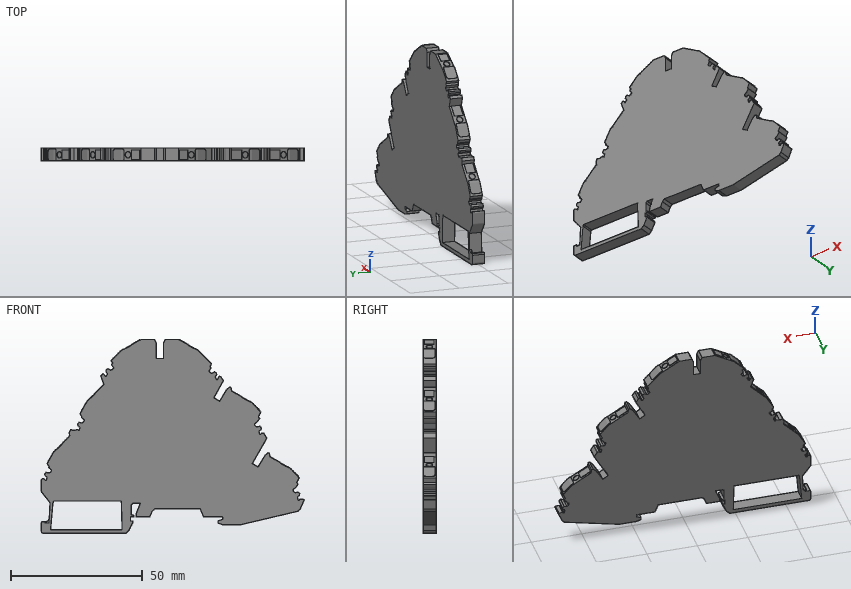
import cadquery as cq
import math

LENGTH = 100.0
HEIGHT = 73.8
THICKNESS = 5.0

RIDGE_BEND = 15.0
SHALLOW_SLOPE = 30.0
STEEP_SLOPE = SHALLOW_SLOPE + RIDGE_BEND

LEFT_TOP_RIDGE = (30.4, 69.5)
LEFT_MIDDLE_RIDGE = (17.5, 50.3)
LEFT_STEP = (-12.7, -19.3)
RIGHT_TOP_RIDGE = (59.6, 69.6)
RIGHT_MIDDLE_RIDGE = (80.1, 49.7)
RIGHT_STEP = (14.6, -25.0)

PAD_HEIGHT = 0.1
PAD_ROOT = 0.5
SQUARE_PAD_LOWER_END = 4.5
TOP_SQUARE_PAD_UPPER_END = 8.2
STEP_SQUARE_PAD_UPPER_END = 9.9
SQUARE_PAD_WIDTH = 3.6
SCREW_CENTER = 2.9
SCREW_DIAMETER = 2.4
SCREW_DEPTH = 0.2
SCREW_ROW_Y = 2.35
ENTRY_UPPER_LENGTH = 1.2
ENTRY_LOWER_LENGTH = 4.3
ENTRY_Y_MIN = 0.0
ENTRY_Y_MAX = 4.5
ENTRY_LOWER_RADIUS = 1.1
ENTRY_UPPER_RADIUS = 0.5

SLOT_CENTER_X = 45.1
SLOT_WIDTH = 2.7
SLOT_DEPTH = 7.2
SLOT_MOUTH_WIDTH = 4.1
SLOT_MOUTH_DEPTH = 1.4
TOP_LEFT_X = 38.0
TOP_RIGHT_X = 52.1

FOOT_TOP = 4.5
GROOVE_FLOOR = 3.9
GROOVE_START = (1.4, GROOVE_FLOOR)
GROOVE_END = (2.9, GROOVE_FLOOR)
GROOVE_RIB_OUTLINE = [GROOVE_START, GROOVE_END, (3.0, 5.4), (2.1, FOOT_TOP), (1.4, FOOT_TOP)]
GROOVE_RIB_THICKNESS = 0.8

FLANK_BOTTOM = 15.9
FLANK_TOP = 20.8
FOOT_CORNER_RADIUS = 0.9
FLANK_BOTTOM_RADIUS = 0.9
FLANK_TOP_RADIUS = 0.6

WINDOW_OUTLINE = [(3.6, 1.5), (30.7, 1.5), (30.4, 12.3), (4.8, 12.3), (4.5, 11.7)]

NOTCH_OUTLINE = [
    (0.6, -1.5), (1.7, -2.4), (1.4, -3.1), (0.8, -3.5), (-0.3, -3.2), (-0.9, -3.9),
    (-0.8, -4.5), (0.0, -5.2), (-0.3, -6.3), (-0.6, -6.3), (-0.9, -5.9),
]

RIGHT_LEVEL_OUTLINE = [
    (-14.4, 1.9), (-12.3, 0.6), (-9.7, 4.9), (-8.5, 6.0), (-7.9, 5.8), (-7.7, 4.4),
    (0.0, 0.0), (3.4, -3.6), (2.5, -5.4), (3.0, -6.0),
]
RIGHT_LEVEL_NOTCH = (2.7, -5.7)


def shifted(point, offset):
    return (point[0] + offset[0], point[1] + offset[1])


def placed(points, origin):
    return [shifted(point, origin) for point in points]


def notch(origin, mirrored=False, tilt=0.0):
    """Notch points turned clockwise by tilt degrees, then optionally mirrored left to right."""
    cosine = math.cos(math.radians(tilt))
    sine = math.sin(math.radians(tilt))
    side = -1 if mirrored else 1
    turned = [(side * (x * cosine + z * sine), z * cosine - x * sine) for x, z in NOTCH_OUTLINE]
    return placed(turned, origin)


def right_level(ridge):
    notch_origin = shifted(ridge, RIGHT_LEVEL_NOTCH)
    return placed(RIGHT_LEVEL_OUTLINE, ridge) + notch(notch_origin, mirrored=True)


LEFT_BOTTOM_RIDGE = shifted(LEFT_MIDDLE_RIDGE, LEFT_STEP)
RIGHT_BOTTOM_RIDGE = shifted(RIGHT_MIDDLE_RIDGE, RIGHT_STEP)


def top_edge():
    floor_z = HEIGHT - SLOT_DEPTH
    mouth_z = HEIGHT - SLOT_MOUTH_DEPTH
    left_half = [(-SLOT_MOUTH_WIDTH / 2, HEIGHT), (-SLOT_WIDTH / 2, mouth_z), (-SLOT_WIDTH / 2, floor_z)]
    slot = left_half + [(-x, z) for x, z in reversed(left_half)]
    return [(TOP_LEFT_X, HEIGHT)] + placed(slot, (SLOT_CENTER_X, 0)) + [(TOP_RIGHT_X, HEIGHT)]


def right_edge():
    upper_end = (64.8, 64.5)
    points = [RIGHT_TOP_RIDGE, upper_end, (64.2, 63.4)]
    points += notch(upper_end, mirrored=True, tilt=RIDGE_BEND)
    points += [(67.7, 59.9), (68.3, 59.6), (69.3, 58.1)]
    points += right_level(RIGHT_MIDDLE_RIDGE)
    points += [(84.6, 38.1), (85.8, 36.2)]
    points += right_level(RIGHT_BOTTOM_RIDGE)
    return points + [(99.7, 13.0), (LENGTH, 12.7), (98.5, 9.3), (97.6, 8.4)]


def bottom_edge():
    rail_seat = [
        (75.9, 3.3), (69.0, 3.3), (67.2, 3.9), (67.2, 4.8), (69.0, 5.4), (68.9, 6.3),
        (61.7, 6.3), (60.4, 9.3), (43.1, 9.3), (42.2, 8.4), (41.3, 6.3),
    ]
    spring_gap = [
        (36.1, 6.3), (36.1, 7.6), (37.6, 11.4), (34.9, 11.4), (34.3, 10.8), (34.3, 7.2),
        (35.2, 6.9), (35.2, 6.3), (34.0, 6.3), (34.0, 4.8), (34.8, 4.8), (34.9, 4.2),
    ]
    return rail_seat + spring_gap + [(33.4, 1.2), (32.2, 0.0), (0.0, 0.0)]


def left_edge():
    bottom_end = (2.2, 26.5)
    middle_end = (14.7, 45.5)
    top_end = (26.5, 65.7)
    points = [(0.0, GROOVE_FLOOR), (0.2, FOOT_TOP), (1.4, FOOT_TOP), GROOVE_START, GROOVE_END]
    points += [(3.3, 11.7), (0.0, FLANK_BOTTOM), (0.0, FLANK_TOP), (0.9, FLANK_TOP)]
    points += reversed(notch(bottom_end))
    points += [(3.0, 25.3), bottom_end, LEFT_BOTTOM_RIDGE, (10.8, 37.0)]
    points += [(10.6, 38.4), (11.2, 39.5), (12.4, 39.2)]
    points += reversed(notch(middle_end))
    points += [(15.4, 44.3), middle_end, LEFT_MIDDLE_RIDGE, (23.8, 56.6), (22.6, 59.9), (23.5, 60.8)]
    points += reversed(notch(top_end, tilt=RIDGE_BEND))
    return points + [(27.1, 64.8), top_end, LEFT_TOP_RIDGE]


def extruded(points, thickness=THICKNESS):
    return cq.Workplane("XZ").polyline(points).close().extrude(-thickness)


def groove_rib():
    rib = extruded(GROOVE_RIB_OUTLINE, GROOVE_RIB_THICKNESS)
    return rib.translate((0, THICKNESS - GROOVE_RIB_THICKNESS, 0))


def round_left_corners(body):
    corners = [(0, FOOT_CORNER_RADIUS), (FLANK_BOTTOM, FLANK_BOTTOM_RADIUS), (FLANK_TOP, FLANK_TOP_RADIUS)]
    for z, radius in corners:
        corner_edge = cq.selectors.NearestToPointSelector((0, THICKNESS / 2, z))
        body = body.edges("|Y").edges(corner_edge).fillet(radius)
    return body


def face_plane(ridge, side, slope):
    """Plane on a terminal face: local X points down the slope, the normal points outward."""
    angle = math.radians(slope)
    downhill = (side * math.cos(angle), 0, -math.sin(angle))
    outward = (side * math.sin(angle), 0, math.cos(angle))
    return cq.Plane(origin=(ridge[0], 0, ridge[1]), xDir=downhill, normal=outward)


def pad(side, x_range, y_range):
    """Raised pad in local coordinates of its face, rooted in the body."""
    x_min, x_max = x_range
    y_min, y_max = y_range
    size = (x_max - x_min, y_max - y_min, PAD_ROOT + PAD_HEIGHT)
    local_y = y_min if side > 0 else -y_max
    slab = cq.Workplane("XY").box(*size, centered=False)
    return slab.translate((x_min, local_y, -PAD_ROOT))


def square_pad(side, upper_end):
    half_width = SQUARE_PAD_WIDTH / 2
    y_range = (SCREW_ROW_Y - half_width, SCREW_ROW_Y + half_width)
    return pad(side, (-upper_end, -SQUARE_PAD_LOWER_END), y_range)


def entry_pads(side):
    """Wire entry pad in two slabs, one on each side of the ridge."""
    miter = PAD_HEIGHT * math.tan(math.radians(RIDGE_BEND / 2))
    y_range = (ENTRY_Y_MIN, ENTRY_Y_MAX)
    upper_slab = pad(side, (-ENTRY_UPPER_LENGTH, miter), y_range)
    lower_slab = pad(side, (-miter, ENTRY_LOWER_LENGTH), y_range)
    upper_slab = upper_slab.edges("|Z and <X").fillet(ENTRY_UPPER_RADIUS)
    lower_slab = lower_slab.edges("|Z and >X").fillet(ENTRY_LOWER_RADIUS)
    return upper_slab, lower_slab


def screw_recess(side):
    screw = cq.Workplane("XY").center(-SCREW_CENTER, side * SCREW_ROW_Y)
    return screw.circle(SCREW_DIAMETER / 2).extrude(SCREW_DEPTH, both=True)


def add_terminal(body, ridge, side, slope, square_upper_end):
    upper = face_plane(ridge, side, slope).location
    lower = face_plane(ridge, side, slope + RIDGE_BEND).location
    upper_entry, lower_entry = entry_pads(side)
    body = body.union(square_pad(side, square_upper_end).val().moved(upper))
    body = body.union(upper_entry.val().moved(upper))
    body = body.union(lower_entry.val().moved(lower))
    return body.cut(screw_recess(side).val().moved(upper))


body = extruded(top_edge() + right_edge() + bottom_edge() + left_edge())
body = round_left_corners(body)
body = body.cut(extruded(WINDOW_OUTLINE)).union(groove_rib())

terminals = [
    (LEFT_TOP_RIDGE, -1, SHALLOW_SLOPE, TOP_SQUARE_PAD_UPPER_END),
    (LEFT_MIDDLE_RIDGE, -1, STEEP_SLOPE, STEP_SQUARE_PAD_UPPER_END),
    (LEFT_BOTTOM_RIDGE, -1, STEEP_SLOPE, STEP_SQUARE_PAD_UPPER_END),
    (RIGHT_TOP_RIDGE, 1, SHALLOW_SLOPE, TOP_SQUARE_PAD_UPPER_END),
    (RIGHT_MIDDLE_RIDGE, 1, SHALLOW_SLOPE, STEP_SQUARE_PAD_UPPER_END),
    (RIGHT_BOTTOM_RIDGE, 1, SHALLOW_SLOPE, STEP_SQUARE_PAD_UPPER_END),
]
for ridge, side, slope, square_upper_end in terminals:
    body = add_terminal(body, ridge, side, slope, square_upper_end)

result = body